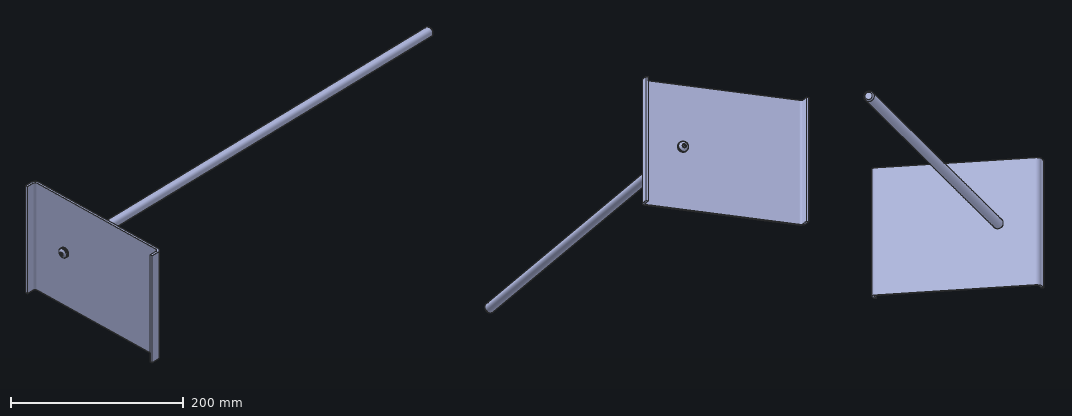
import cadquery as cq

plate_width = 203.2
plate_height = 152.4
sheet = 3.175
inner_bend_radius = 3.175
outer_bend_radius = inner_bend_radius + sheet
channel_depth = 15.93

rod_x = -plate_width / 4
rod_diameter = 12.7
rod_length = 609.6
rod_end_chamfer = 2.0

washer_diameter = 12.7
washer_thickness = 1.6
washer_y = -sheet - washer_thickness
head_diameter = 12.5
head_height = 3.9
head_rim_height = 1.9
head_top_diameter = 5.11
socket_width = 3.18
socket_depth = 2.0


def cylinder(diameter, front_y, length):
    """Cylinder on the rod axis, running from front_y towards +Y."""
    base = cq.Workplane("XZ", origin=(rod_x, front_y, 0))
    return base.circle(diameter / 2).extrude(-length)


def channel_block(width, back_y, bend_radius):
    """Block from the flange tips to back_y with its two rear vertical edges rounded."""
    depth = back_y + channel_depth
    block = cq.Workplane("XY").box(width, depth, plate_height)
    block = block.translate((0, back_y - depth / 2, 0))
    return block.edges("|Z and >Y").fillet(bend_radius)


def make_plate():
    """Shallow channel with rounded bends, open towards -Y."""
    outside = channel_block(plate_width, 0, outer_bend_radius)
    inside = channel_block(plate_width - 2 * sheet, -sheet, inner_bend_radius)
    return outside.cut(inside)


def make_rod():
    """Round rod with a chamfered free end."""
    return cylinder(rod_diameter, 0, rod_length).faces(">Y").chamfer(rod_end_chamfer)


def make_washer():
    """Plain disc between the plate and the screw head."""
    return cylinder(washer_diameter, washer_y, washer_thickness)


def make_screw():
    """Head with a straight rim, a conical flank and a hexagonal socket."""
    rim_y = washer_y - head_rim_height
    top_y = washer_y - head_height
    rim_radius = head_diameter / 2
    top_radius = head_top_diameter / 2
    head = (
        cq.Workplane("XY")
        .moveTo(0, washer_y)
        .lineTo(rim_radius, washer_y)
        .lineTo(rim_radius, rim_y)
        .lineTo(top_radius, top_y)
        .lineTo(0, top_y)
        .close()
        .revolve(360, (0, 0, 0), (0, 1, 0))
        .translate((rod_x, 0, 0))
    )
    socket = (
        cq.Workplane("XZ", origin=(rod_x, top_y, 0))
        .polygon(6, socket_width, circumscribed=True)
        .extrude(-socket_depth)
    )
    return head.cut(socket)


result = make_plate().union(make_rod()).union(make_washer()).union(make_screw())